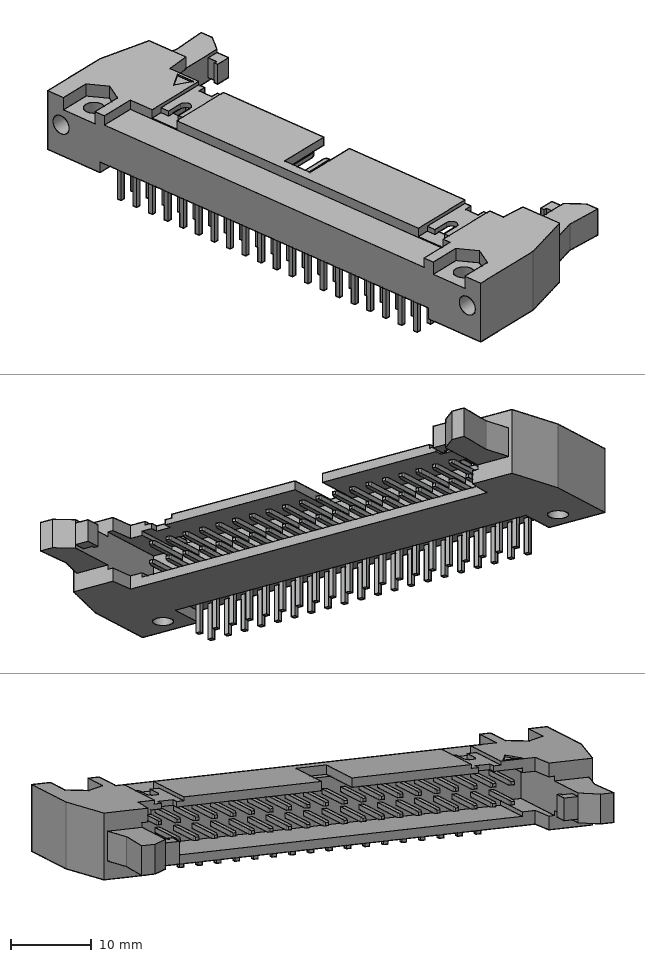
import cadquery as cq


LENGTH = 70.4
HEIGHT = 8.5
HALF_LENGTH = LENGTH / 2
MOUTH_Y = 13.8
TOWER_Y = 17.2
TOWER_TAPER_Y = 10.0
TOWER_OUTER_X = 33.4
TOWER_INNER_X = 27.4
TOWER_ROOT_X = 27.1

WALL = 1.2
CAVITY_HALF_LENGTH = 25.35
CAVITY_BACK_Y = 7.45
MID_Z = HEIGHT / 2
CAVITY_TOP_Z = HEIGHT - WALL

LEDGE_WIDTH = 4.9
TOP_LEDGE_HALF_LENGTH = 26.0
TOP_LEDGE_DEPTH = 1.35
BOTTOM_LEDGE_HALF_LENGTH = 26.7
BOTTOM_LEDGE_DEPTH = 1.55

KEY_WIDTH = 4.15
KEY_BACK_Y = 6.35

CHANNEL_CENTRES_X = (-20.4, 22.9)
CHANNEL_WIDTH = 4.0
CHANNEL_DEPTH = 0.5
CHANNEL_STEP_Y = 6.6
WINDOW_WIDTH = 1.55
WINDOW_END_Y = 9.65
NOTCH_WIDTH = 2.05
NOTCH_DEPTH = 1.05

HOLE_DIAMETER = 2.6
MOUNT_X = 30.05
MOUNT_Y = 2.8
POCKET_WIDTH = 5.15
POCKET_SHOULDER_Y = 4.3
POCKET_APEX_Y = 5.8
POCKET_DEPTH = 1.75
REAR_HOLE_X = 33.0
REAR_HOLE_Z = 4.4
REAR_HOLE_DEPTH = 7.05

MARK_X = -24.2
MARK_BASE_Y = 13.4
MARK_WIDTH = 2.6
MARK_LENGTH = 2.25
MARK_DEPTH = 0.2

LATCH_HEIGHT = 3.8
LATCH_END_Y = 25.8
LATCH_INNER_X = 28.15
LATCH_CREST_Y = 24.0
LATCH_CREST_X = 30.4
LATCH_ROOT_X = 32.9
LATCH_WAIST_X = 31.95
LATCH_WAIST_Y = 20.8
LATCH_TIP_X = 32.25
LATCH_SLOT_HEIGHT = 5.0
HOOK_HEIGHT = 2.9
HOOK_TIP_X = 26.25
HOOK_LIP = 0.55
HOOK_BASE_Y = 22.3
HOOK_LIP_Y = 21.9

PIN_COLUMNS = 20
PITCH = 2.5
PIN_SIZE = 0.6
PIN_TIP_LENGTH = 0.4
PIN_TIP_INSET = 0.105
CONTACT_END_Y = 13.7
LEG_END_Z = -3.2
REAR_LEG_Y = 0.9
FRONT_LEG_Y = REAR_LEG_Y + PITCH


def block(x_min, x_max, y_min, y_max, z_min, z_max):
    """Box given by its limits along each axis."""
    return cq.Workplane("XY").box(
        x_max - x_min, y_max - y_min, z_max - z_min, centered=False
    ).translate((x_min, y_min, z_min))


def plate(points, z_min, z_max):
    """Upright prism on a polygon."""
    return cq.Workplane("XY", origin=(0, 0, z_min)).polyline(points).close().extrude(z_max - z_min)


def both_ends(shape):
    """The shape at the +X end together with its mirror image at the -X end."""
    return shape.union(shape.mirror("YZ"))


def housing():
    right_half = [
        (HALF_LENGTH, 0),
        (HALF_LENGTH, TOWER_TAPER_Y),
        (TOWER_OUTER_X, TOWER_Y),
        (TOWER_INNER_X, TOWER_Y),
        (TOWER_ROOT_X, MOUTH_Y),
    ]
    left_half = [(-x, y) for x, y in reversed(right_half)]
    return plate(right_half + left_half, 0, HEIGHT)


def cavity():
    return block(-CAVITY_HALF_LENGTH, CAVITY_HALF_LENGTH, CAVITY_BACK_Y, MOUTH_Y, WALL, CAVITY_TOP_Z)


def rear_ledges():
    """Steps along the rear edge, one in the top and one in the underside."""
    top = block(
        -TOP_LEDGE_HALF_LENGTH, TOP_LEDGE_HALF_LENGTH, 0, LEDGE_WIDTH, HEIGHT - TOP_LEDGE_DEPTH, HEIGHT
    )
    bottom = block(
        -BOTTOM_LEDGE_HALF_LENGTH, BOTTOM_LEDGE_HALF_LENGTH, 0, LEDGE_WIDTH, 0, BOTTOM_LEDGE_DEPTH
    )
    return top.union(bottom)


def key_slot():
    return block(-KEY_WIDTH / 2, KEY_WIDTH / 2, KEY_BACK_Y, MOUTH_Y, CAVITY_TOP_Z, HEIGHT)


def channel(centre_x):
    """Channel with a deeper rear step, a round-ended window and a notch at the mouth."""

    def centred(width, y_min, y_max, z_min):
        return block(centre_x - width / 2, centre_x + width / 2, y_min, y_max, z_min, HEIGHT)

    window_radius = WINDOW_WIDTH / 2
    arc_y = WINDOW_END_Y - window_radius
    window_end = (
        cq.Workplane("XY", origin=(centre_x, arc_y, CAVITY_TOP_Z))
        .circle(window_radius)
        .extrude(WALL)
    )
    return (
        centred(CHANNEL_WIDTH, LEDGE_WIDTH, MOUTH_Y, HEIGHT - CHANNEL_DEPTH)
        .union(centred(CHANNEL_WIDTH, LEDGE_WIDTH, CHANNEL_STEP_Y, CAVITY_TOP_Z))
        .union(centred(WINDOW_WIDTH, LEDGE_WIDTH, arc_y, CAVITY_TOP_Z))
        .union(window_end)
        .union(centred(NOTCH_WIDTH, MOUTH_Y - NOTCH_DEPTH, MOUTH_Y, CAVITY_TOP_Z))
    )


def mounting_cut():
    """Vertical through hole, its pointed nut pocket and the blind hole in the rear face."""
    pocket_left = MOUNT_X - POCKET_WIDTH / 2
    pocket_right = MOUNT_X + POCKET_WIDTH / 2
    pocket_outline = [
        (pocket_left, 0),
        (pocket_right, 0),
        (pocket_right, POCKET_SHOULDER_Y),
        (MOUNT_X, POCKET_APEX_Y),
        (pocket_left, POCKET_SHOULDER_Y),
    ]
    pocket = plate(pocket_outline, HEIGHT - POCKET_DEPTH, HEIGHT)
    through_hole = cq.Workplane("XY").center(MOUNT_X, MOUNT_Y).circle(HOLE_DIAMETER / 2).extrude(HEIGHT)
    rear_hole = (
        cq.Workplane("XZ")
        .center(REAR_HOLE_X, REAR_HOLE_Z)
        .circle(HOLE_DIAMETER / 2)
        .extrude(-REAR_HOLE_DEPTH)
    )
    return pocket.union(through_hole).union(rear_hole)


def pin_one_mark():
    triangle = [
        (MARK_X - MARK_WIDTH / 2, MARK_BASE_Y),
        (MARK_X + MARK_WIDTH / 2, MARK_BASE_Y),
        (MARK_X, MARK_BASE_Y - MARK_LENGTH),
    ]
    return plate(triangle, HEIGHT - MARK_DEPTH, HEIGHT)


def latch_slot():
    """Opening between the cavity and the inner face of the latch, along the tower."""
    return block(
        CAVITY_HALF_LENGTH,
        LATCH_INNER_X,
        CAVITY_BACK_Y,
        TOWER_Y,
        MID_Z - LATCH_SLOT_HEIGHT / 2,
        MID_Z + LATCH_SLOT_HEIGHT / 2,
    )


def latch():
    """Lever standing on the tower, with a hook pointing inward."""
    lever_outline = [
        (LATCH_INNER_X, TOWER_Y),
        (LATCH_ROOT_X, TOWER_Y),
        (LATCH_WAIST_X, LATCH_WAIST_Y),
        (LATCH_TIP_X, LATCH_END_Y),
        (LATCH_CREST_X, LATCH_END_Y),
        (LATCH_INNER_X, LATCH_CREST_Y),
    ]
    hook_outline = [
        (LATCH_INNER_X, LATCH_CREST_Y),
        (HOOK_TIP_X, LATCH_CREST_Y),
        (HOOK_TIP_X, HOOK_LIP_Y),
        (HOOK_TIP_X + HOOK_LIP, HOOK_LIP_Y),
        (HOOK_TIP_X + HOOK_LIP, HOOK_BASE_Y),
        (LATCH_INNER_X, HOOK_BASE_Y),
    ]
    lever = plate(lever_outline, MID_Z - LATCH_HEIGHT / 2, MID_Z + LATCH_HEIGHT / 2)
    hook = plate(hook_outline, MID_Z - HOOK_HEIGHT / 2, MID_Z + HOOK_HEIGHT / 2)
    return lever.union(hook)


def contact_pin(start_y, z):
    """Square contact along +Y, ending in a short tapered tip."""
    half = PIN_SIZE / 2
    tip_y = CONTACT_END_Y - PIN_TIP_LENGTH
    tip_size = PIN_SIZE - 2 * PIN_TIP_INSET
    tip = (
        cq.Workplane("ZX", origin=(0, tip_y, z))
        .rect(PIN_SIZE, PIN_SIZE)
        .workplane(offset=PIN_TIP_LENGTH)
        .rect(tip_size, tip_size)
        .loft(ruled=True)
    )
    return block(-half, half, start_y, tip_y, z - half, z + half).union(tip)


def pin_column():
    """Both right-angle pins of one column; the upper contact bends into the rear leg."""
    half = PIN_SIZE / 2
    upper_contact = contact_pin(REAR_LEG_Y - half, MID_Z + PITCH / 2)
    lower_contact = contact_pin(FRONT_LEG_Y - half, MID_Z - PITCH / 2)
    rear_leg = block(-half, half, REAR_LEG_Y - half, REAR_LEG_Y + half, LEG_END_Z, MID_Z + PITCH / 2)
    front_leg = block(-half, half, FRONT_LEG_Y - half, FRONT_LEG_Y + half, LEG_END_Z, MID_Z - PITCH / 2)
    return [upper_contact.union(rear_leg), lower_contact.union(front_leg)]


part = housing()
part = part.cut(cavity()).cut(rear_ledges()).cut(key_slot())
for channel_x in CHANNEL_CENTRES_X:
    part = part.cut(channel(channel_x))
part = part.cut(both_ends(mounting_cut())).cut(pin_one_mark())
part = part.cut(both_ends(latch_slot()))
part = part.union(both_ends(latch()))

for index in range(PIN_COLUMNS):
    pin_x = (index - (PIN_COLUMNS - 1) / 2) * PITCH
    for pin in pin_column():
        part = part.union(pin.translate((pin_x, 0, 0)))

result = part